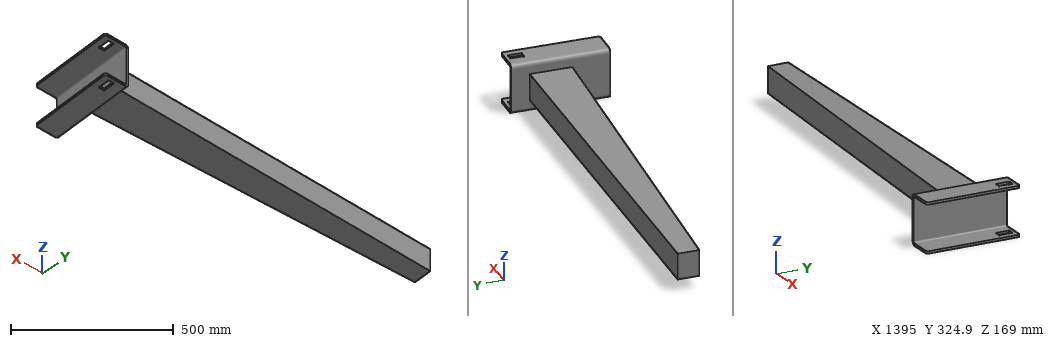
import cadquery as cq
import math

overall_length = 1395.0
overall_width = 325.0
channel_height = 169.0

channel_tilt = 0.5
channel_depth = 95.0
sheet_thickness = 8.0
bend_radius = 14.0
flange_corner_radius = 8.0

slot_width = 22.0
slot_length = 45.0
slot_web_offset = 47.0
slot_end_offset = 14.0

beam_height = 90.0
beam_tip_width = 71.0
beam_root_width = 140.0
beam_back_offset = 60.0

tilt = math.radians(channel_tilt)
channel_length = (overall_width - channel_depth * math.sin(tilt)) / math.cos(tilt)
corner_setback = flange_corner_radius * (math.cos(tilt) + math.sin(tilt) - 1)
channel_back_x = overall_length - channel_depth * math.cos(tilt) + corner_setback
channel_back_y = beam_back_offset


def web_face_x(y):
    """X of the tilted outer web face at the given Y."""
    return channel_back_x + (y - channel_back_y) * math.tan(tilt)


def make_channel():
    """U channel with its back outer web edge at the origin, running toward -Y before tilting."""
    channel = (
        cq.Workplane("XY")
        .box(channel_depth, channel_length, channel_height, centered=(False, False, True))
        .translate((0, -channel_length, 0))
        .edges("|Y and <X")
        .fillet(bend_radius)
    )
    inside = (
        cq.Workplane("XY")
        .box(
            channel_depth,
            channel_length,
            channel_height - 2 * sheet_thickness,
            centered=(False, False, True),
        )
        .edges("|Y and <X")
        .fillet(bend_radius - sheet_thickness)
        .translate((sheet_thickness, -channel_length, 0))
    )
    slot = (
        cq.Workplane("XY")
        .box(slot_width, slot_length, channel_height, centered=(False, False, True))
        .translate((slot_web_offset, -slot_end_offset - slot_length, 0))
    )
    channel = channel.cut(inside).edges("|Z and >X").fillet(flange_corner_radius).cut(slot)
    return channel.rotate((0, 0, 0), (0, 0, 1), -channel_tilt).translate(
        (channel_back_x, channel_back_y, 0)
    )


def make_beam():
    """Tapered solid beam whose root end lies flat on the tilted web."""
    outline = [
        (0, 0),
        (0, -beam_tip_width),
        (web_face_x(-beam_root_width), -beam_root_width),
        (web_face_x(0), 0),
    ]
    return cq.Workplane("XY").polyline(outline).close().extrude(beam_height / 2, both=True)


channel = make_channel()
beam = make_beam()

result = cq.Compound.makeCompound([channel.val(), beam.val()])